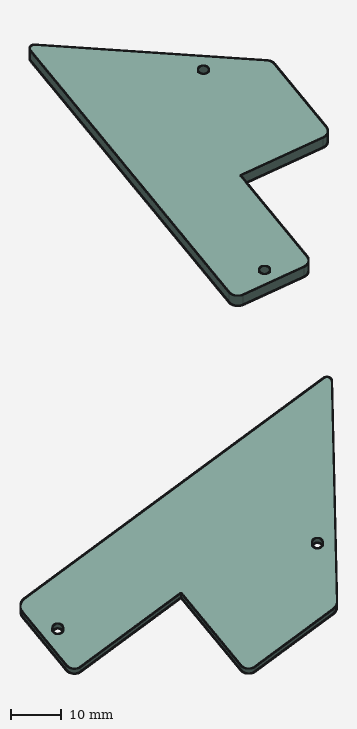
import cadquery as cq
import math

length = 77.6
width = 39.05
thickness = 3.0

arm_width = 18.0
step_x = 50.6
corner_radius = 2.0
tip_radius = 1.0
slope_angle = math.radians(53.3)

hole_diameter = 2.2
hole_centers = [(23.1, 26.3), (74.3, 9.0)]

tip_x = tip_radius - tip_radius / math.tan(slope_angle / 2)
slope_top_x = tip_x + width / math.tan(slope_angle)


def sharp_outline():
    return [
        (tip_x, 0),
        (length, 0),
        (length, arm_width),
        (step_x, arm_width),
        (step_x, width),
        (slope_top_x, width),
    ]


def round_corner(plate, corner, radius):
    edge = cq.selectors.NearestToPointSelector((*corner, thickness / 2))
    return plate.edges("|Z").edges(edge).fillet(radius)


tip, front, arm_back, inner, step_back, slope_top = sharp_outline()
result = cq.Workplane("XY").polyline(sharp_outline()).close().extrude(thickness)
result = round_corner(result, tip, tip_radius)
for outer_corner in (front, arm_back, step_back, slope_top):
    result = round_corner(result, outer_corner, corner_radius)

holes = cq.Workplane("XY").pushPoints(hole_centers).circle(hole_diameter / 2).extrude(thickness)
result = result.cut(holes)